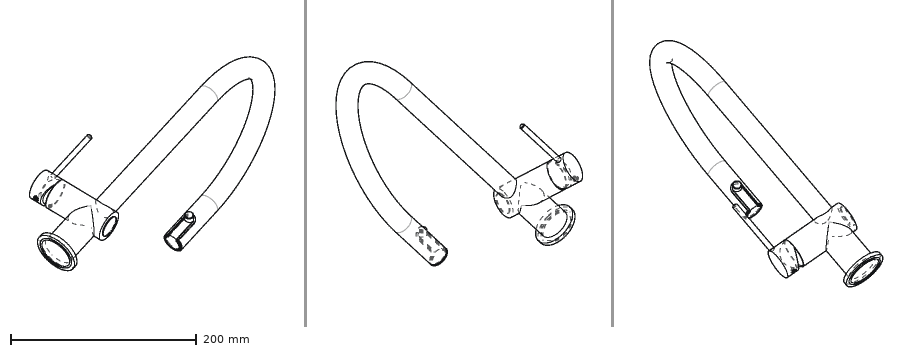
import cadquery as cq


column_diameter = 35.0
flange_diameter = 50.0
flange_thickness = 4.5
bead_outer_diameter = 42.0
bead_height = 1.0
base_bottom_y = -64.2
flange_bottom_y = base_bottom_y + bead_height

barrel_diameter = column_diameter
barrel_radius = barrel_diameter / 2
barrel_left_x = -47.8
barrel_right_x = 24.5
barrel_cap_diameter = 24.0
barrel_cap_height = 1.0
dome_diameter = 32.5
dome_center_x = -46.5

spout_diameter = 24.0
spout_radius = spout_diameter / 2
spout_x = (column_diameter - spout_diameter) / 2
overall_length = 382.5
spout_drop = 200.0
bend_radius = spout_drop / 2
bend_start_y = base_bottom_y + overall_length - spout_radius - bend_radius

spray_end_y = 141.5
spray_lip_height = 1.0
spray_lip_diameter = 19.5
spray_lip_chamfer = 0.8
spray_bore_diameter = 22.0
spray_lip_y = spray_end_y - spray_lip_height

knob_diameter = 10.0
knob_y = 170.5
knob_top_height = 18.7
knob_chamfer = 0.8
strip_gap = 2.0
slot_depth = 1.5
slot_floor_radius = spout_radius - slot_depth

handle_left_x = -69.5
notch_depth = 7.0
lever_diameter = 6.0
lever_x = -64.0
lever_tip_y = 84.5
lever_chamfer = 0.8
screw_x = -60.8
screw_hole_diameter = 6.0
screw_hole_depth = 1.5
socket_diameter = 4.0
socket_depth = 2.3


def cylinder_x(diameter, start_x, end_x):
    """Cylinder on the barrel axis from start_x to end_x."""
    return cq.Workplane("YZ", origin=(start_x, 0, 0)).circle(diameter / 2).extrude(end_x - start_x)


def cylinder_y(diameter, start_y, end_y, x=0.0, z=0.0):
    """Cylinder along +Y from start_y to end_y."""
    plane = cq.Plane(origin=(x, start_y, z), xDir=(1, 0, 0), normal=(0, 1, 0))
    return cq.Workplane(plane).circle(diameter / 2).extrude(end_y - start_y)


def make_dome():
    """Ball-shaped cap on the left end of the barrel, on which the handle turns."""
    ball = cq.Workplane("XY", origin=(dome_center_x, 0, 0)).sphere(dome_diameter / 2)
    left_side = cylinder_x(barrel_diameter, handle_left_x, barrel_left_x)
    return ball.intersect(left_side)


def make_base():
    """Column on a flange whose underside carries a half-round sealing bead."""
    column = cylinder_y(column_diameter, flange_bottom_y, 0)
    flange = cylinder_y(flange_diameter, flange_bottom_y, flange_bottom_y + flange_thickness)
    outer_radius = bead_outer_diameter / 2
    middle_radius = outer_radius - bead_height
    inner_radius = middle_radius - bead_height
    bead = (
        cq.Workplane("XY")
        .moveTo(inner_radius, flange_bottom_y)
        .threePointArc((middle_radius, base_bottom_y), (outer_radius, flange_bottom_y))
        .close()
        .revolve(360, (0, 0, 0), (0, 1, 0))
    )
    return column.union(flange).union(bead)


def make_barrel():
    """Cross tube that holds the valve, with a thin cap on its right end."""
    barrel = cylinder_x(barrel_diameter, barrel_left_x, barrel_right_x)
    cap = cylinder_x(barrel_cap_diameter, barrel_right_x, barrel_right_x + barrel_cap_height)
    return barrel.union(cap)


def make_spout():
    """Straight tube, half-circle bend and straight spray head, swept along one path."""
    path = (
        cq.Workplane("YZ", origin=(spout_x, 0, 0))
        .moveTo(0, 0)
        .lineTo(bend_start_y, 0)
        .threePointArc((bend_start_y + bend_radius, -bend_radius), (bend_start_y, -spout_drop))
        .lineTo(spray_end_y, -spout_drop)
    )
    return cq.Workplane("XZ", origin=(spout_x, 0, 0)).circle(spout_radius).sweep(path)


def spray_cylinder(diameter, start_y, end_y):
    """Cylinder on the spray head axis."""
    return cylinder_y(diameter, start_y, end_y, spout_x, -spout_drop)


def make_selector_outline(width, start_y):
    """Upright block with a round end at the knob, running along the head to start_y."""
    plane = cq.Workplane("XY", origin=(spout_x, 0, -spout_drop))
    bar_length = knob_y - start_y
    bar = plane.center(0, start_y + bar_length / 2).rect(width, bar_length).extrude(knob_top_height)
    round_end = plane.center(0, knob_y).circle(width / 2).extrude(knob_top_height)
    return bar.union(round_end)


def add_spray_details(spout):
    """Nozzle plate in a ring groove, selector slot, selector strip and knob."""
    nozzle_recess = spray_cylinder(spray_bore_diameter, spray_end_y, spray_end_y + spray_lip_height)
    nozzle = spray_cylinder(spray_lip_diameter, spray_lip_y, spray_end_y + spray_lip_height)
    nozzle = nozzle.faces("<Y").chamfer(spray_lip_chamfer)

    slot = make_selector_outline(knob_diameter + 2 * strip_gap, spray_end_y)
    slot = slot.cut(spray_cylinder(2 * slot_floor_radius, spray_end_y, bend_start_y))

    strip = make_selector_outline(knob_diameter, spray_lip_y)
    strip = strip.intersect(spray_cylinder(spout_diameter, spray_lip_y, bend_start_y))
    knob = (
        cq.Workplane("XY", origin=(spout_x, knob_y, -spout_drop))
        .circle(knob_diameter / 2)
        .extrude(knob_top_height)
        .faces(">Z")
        .chamfer(knob_chamfer)
    )
    return spout.cut(nozzle_recess).cut(slot).union(nozzle).union(strip).union(knob)


def make_faucet_body():
    """Base, barrel, dome and spout as one solid."""
    spout = add_spray_details(make_spout())
    return make_base().union(make_barrel()).union(make_dome()).union(spout)


def make_notch():
    """Wedge that slopes the handle's inner end away from the barrel on its -Y half."""
    return (
        cq.Workplane("XY", origin=(0, 0, -barrel_radius))
        .moveTo(barrel_left_x, 0)
        .lineTo(barrel_left_x - notch_depth, -barrel_radius)
        .lineTo(barrel_left_x, -barrel_radius)
        .close()
        .extrude(barrel_diameter)
    )


def make_handle():
    """Round grip with a lever rod, a set-screw hole and a socket that fits the dome."""
    grip = cylinder_x(barrel_diameter, handle_left_x, barrel_left_x)
    lever = cylinder_y(lever_diameter, 0, lever_tip_y, lever_x).faces(">Y").chamfer(lever_chamfer)
    hole_floor_y = -barrel_radius + screw_hole_depth
    screw_hole = cylinder_y(screw_hole_diameter, -barrel_radius, hole_floor_y, screw_x)
    socket = cylinder_y(socket_diameter, hole_floor_y, hole_floor_y + socket_depth, screw_x)
    handle = grip.union(lever).cut(make_notch()).cut(screw_hole).cut(socket)
    return handle.cut(make_dome())


faucet_body = make_faucet_body()
handle = make_handle()

result = cq.Compound.makeCompound([faucet_body.val(), handle.val()])